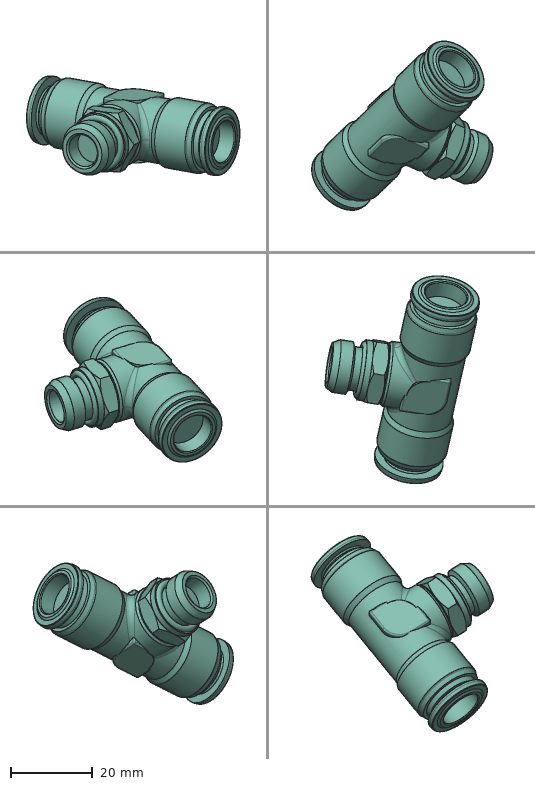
import cadquery as cq
import math

length = 52.0
width = 33.05
shell_diameter = 17.5
body_radius = 8.05
blend_radius = 1.5

half_length = length / 2
shell_radius = shell_diameter / 2
collet_bore_radius = 5.2
collet_bore_chamfer = 0.25
collet_bore_depth = 4.45
collet_lip_radius = 6.25
collet_lip_height = 0.4
collet_cone_radius = 6.85
flange_front_radius = 8.2
flange_front_edge = 0.55
flange_edge_radius = 8.35
flange_rim = 1.45
flange_radius = 8.55
flange_back = 2.0
collet_neck_radius = 6.0
collet_neck_flare_length = 0.45
collet_neck_flare_height = 0.3
shell_start = 3.15
shell_tip_radius = 6.9
shell_ring_radius = 7.3
shell_step = 4.45
shell_step_radius = 8.15
shell_edge = 5.65
shell_edge_radius = 8.6
shell_full = 6.0
shell_end = 14.6
shell_taper_end = 16.0

branch_straight_end = 9.9
branch_end = 10.5
branch_end_radius = 7.6
stem_radius = 6.7
nut_start = 10.75
nut_end = 14.7
nut_across_flats = 15.1
nut_turn = -1.5
nut_chamfer_angle = 30.0
collar_radius = 7.5
collar_end = 16.3
seal_outer_radius = 7.1
groove_radius = 5.4
groove_end = 18.8
thread_radius = 6.55
thread_start = 19.4
thread_taper_start = 22.55
thread_tip_radius = 5.6
branch_tip = width - shell_radius
branch_bore_radius = 4.05
branch_bore_chamfer = 0.45
branch_bore_depth = 4.7

pad_near_side = 5.05
pad_far_side = 6.0
pad_edge_radius = 0.45


def make_run():
    """Run with both shells and collets: half is turned, then mirrored about the YZ plane."""
    half = [
        (0, 0),
        (half_length, 0),
        (half_length, collet_lip_radius),
        (half_length - collet_lip_height, collet_cone_radius),
        (half_length - collet_lip_height, flange_front_radius),
        (half_length - flange_front_edge, flange_edge_radius),
        (half_length - flange_rim, flange_radius),
        (half_length - flange_back, flange_radius),
        (half_length - flange_back, collet_neck_radius + collet_neck_flare_height),
        (half_length - flange_back - collet_neck_flare_length, collet_neck_radius),
        (half_length - shell_start, collet_neck_radius),
        (half_length - shell_start, shell_tip_radius),
        (half_length - shell_step, shell_ring_radius),
        (half_length - shell_step, shell_step_radius),
        (half_length - shell_edge, shell_edge_radius),
        (half_length - shell_full, shell_radius),
        (half_length - shell_end, shell_radius),
        (half_length - shell_taper_end, body_radius),
        (0, body_radius),
    ]
    right_half = cq.Workplane("XY").polyline(half).close().revolve(360, (0, 0, 0), (1, 0, 0))
    return right_half.union(right_half.mirror("YZ"))


def make_tee():
    """Plain run and branch cylinders with pads, blended where they meet."""
    core_half = half_length - shell_taper_end
    run = cq.Workplane("YZ").circle(body_radius).extrude(core_half, both=True)
    branch = cq.Workplane("XZ").circle(body_radius).extrude(branch_straight_end)
    tee = run.union(branch).union(make_pad())
    meeting = cq.selectors.BoxSelector(
        (-body_radius, -body_radius, -body_radius),
        (body_radius, -pad_far_side - pad_edge_radius / 2, body_radius),
    )
    return tee.edges(meeting).fillet(blend_radius)


def make_pad():
    """Both pads as one upright block: two tight corners and, opposite each other, two wide ones."""
    side = pad_near_side + pad_far_side
    shift = (pad_far_side - pad_near_side) / 2
    block = cq.Workplane("XY").center(shift, -shift).rect(side, side)
    block = block.extrude(body_radius, both=True)
    block = block.edges("|Z and <X and >Y").fillet(pad_near_side)
    block = block.edges("|Z and (>(1,1,0) or <(1,1,0))").fillet(pad_edge_radius)
    block = block.faces("|Z").edges().fillet(pad_edge_radius)
    corner = (
        cq.Workplane("XY")
        .rect(side, -side, centered=False)
        .extrude(body_radius, both=True)
        .cut(cq.Workplane("XY").circle(pad_near_side).extrude(body_radius, both=True))
    )
    return block.cut(corner)


def make_branch_stem():
    """Turned parts of the branch beyond the plain cylinder."""
    seal_half_width = (seal_outer_radius - groove_radius) / 2
    profile = (
        cq.Workplane("XY")
        .moveTo(0, 0)
        .lineTo(stem_radius, 0)
        .lineTo(stem_radius, -branch_straight_end)
        .lineTo(body_radius, -branch_straight_end)
        .lineTo(branch_end_radius, -branch_end)
        .lineTo(stem_radius, -branch_end)
        .lineTo(stem_radius, -nut_end)
        .lineTo(collar_radius, -nut_end)
        .lineTo(collar_radius, -collar_end)
        .lineTo(seal_outer_radius, -collar_end)
        .threePointArc(
            (groove_radius + seal_half_width, -collar_end - seal_half_width),
            (groove_radius, -collar_end),
        )
        .lineTo(groove_radius, -groove_end)
        .lineTo(thread_radius, -thread_start)
        .lineTo(thread_radius, -thread_taper_start)
        .lineTo(thread_tip_radius, -branch_tip)
        .lineTo(0, -branch_tip)
        .close()
    )
    return profile.revolve(360, (0, 0, 0), (0, 1, 0))


def make_nut():
    """Hexagon nut with both ends chamfered by cones."""
    flat_radius = nut_across_flats / 2
    corner_radius = flat_radius / math.cos(math.pi / 6)
    drop = (corner_radius - flat_radius) * math.tan(math.radians(nut_chamfer_angle))
    hexagon = cq.Workplane("XZ", origin=(0, -nut_start, 0)).polygon(6, 2 * corner_radius)
    hexagon = hexagon.extrude(nut_end - nut_start).rotate((0, 0, 0), (0, 1, 0), nut_turn)
    envelope = (
        cq.Workplane("XY")
        .polyline([
            (0, -nut_start),
            (flat_radius, -nut_start),
            (corner_radius, -nut_start - drop),
            (corner_radius, -nut_end + drop),
            (flat_radius, -nut_end),
            (0, -nut_end),
        ])
        .close()
        .revolve(360, (0, 0, 0), (0, 1, 0))
    )
    return hexagon.intersect(envelope)


def make_bore(radius, depth, chamfer):
    """Blind bore that enters the XY plane from above, with a chamfered mouth."""
    profile = [(0, 0), (radius + chamfer, 0), (radius, -chamfer), (radius, -depth), (0, -depth)]
    return cq.Workplane("XZ").polyline(profile).close().revolve(360, (0, 0, 0), (0, 1, 0))


result = make_tee().union(make_run()).union(make_branch_stem()).union(make_nut())

collet_bore = make_bore(collet_bore_radius, collet_bore_depth, collet_bore_chamfer)
for turn in (90, -90):
    cutter = collet_bore.rotate((0, 0, 0), (0, 1, 0), turn)
    result = result.cut(cutter.translate((math.copysign(half_length, turn), 0, 0)))

branch_bore = make_bore(branch_bore_radius, branch_bore_depth, branch_bore_chamfer)
result = result.cut(branch_bore.rotate((0, 0, 0), (1, 0, 0), 90).translate((0, -branch_tip, 0)))